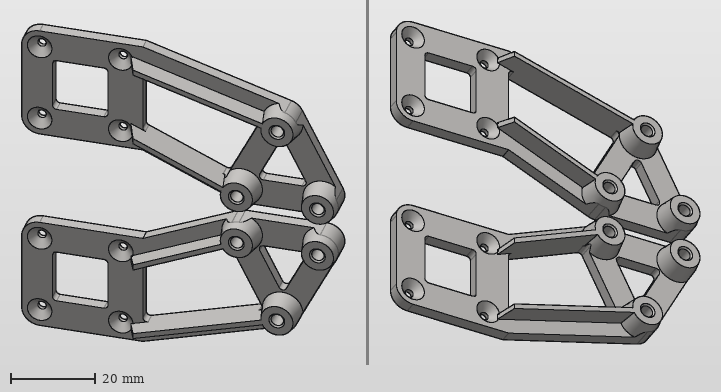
import cadquery as cq
import math


plate_thickness = 3.1
total_depth = 8.0
overall_height = 82.8
edge_margin = 4.5
pitch = 20.0
half_gap = 2.0
mount_to_boss = 30.0

plate_length = 30.0
mount_hole_d = 2.1
countersink_d = 6.05
countersink_angle = 90
window_size = 13.7
corner_fillet = 1.0

boss_base_d = 10.0
boss_tip_d = 7.95
boss_bore_d = 3.1
bore_chamfer = 0.4
bore_chamfer_angle = 90

rib_width = 1.3
rib_start = 27.0
rib_end_slant = 2.0
leg_inner_offset = 2.0
bar_inner_offset = 2.8

boss_height = total_depth - plate_thickness
left_boss = (edge_margin + pitch + mount_to_boss, half_gap + edge_margin)
right_boss = (left_boss[0] + pitch, left_boss[1])
top_boss = (left_boss[0] + pitch / 2, left_boss[1] + pitch)
bosses = [left_boss, right_boss, top_boss]

plate_top = overall_height / 2
plate_bottom = plate_top - pitch - 2 * edge_margin
mount_center = (edge_margin + pitch / 2, (plate_top + plate_bottom) / 2)

leg_angle = math.degrees(math.atan2(pitch, pitch / 2))


def tangent_angle(start, center, side):
    """Angle of the line from start that touches the outer corner round center on one side."""
    dx = center[0] - start[0]
    dz = center[1] - start[1]
    swing = math.asin(edge_margin / math.hypot(dx, dz))
    return math.degrees(math.atan2(dz, dx) + side * swing)


upper_arm_angle = tangent_angle((plate_length, plate_top), top_boss, 1)
lower_arm_angle = tangent_angle((plate_length, plate_bottom), left_boss, -1)


def polar(center, radius, angle):
    """Point at a radius and an angle from a centre."""
    turn = math.radians(angle)
    return (center[0] + radius * math.cos(turn), center[1] + radius * math.sin(turn))


def meet(point_a, angle_a, point_b, angle_b):
    """Crossing point of two lines, each given by a point and an angle."""
    turn_b = math.radians(angle_b)
    across = (point_b[0] - point_a[0]) * math.sin(turn_b) - (point_b[1] - point_a[1]) * math.cos(turn_b)
    return polar(point_a, across / math.sin(math.radians(angle_b - angle_a)), angle_a)


def prism(points, depth):
    """Closed outline in XZ, extruded from Y = 0 toward -Y."""
    return cq.Workplane("XZ").polyline(points).close().extrude(depth)


def outline(depth):
    """Outer outline: square mounting end, two arms and the rounded boss triangle."""
    r = edge_margin
    upper_left = (r, plate_top - r)
    lower_left = (r, plate_bottom + r)
    top_start = upper_arm_angle + 90
    leg_normal = 90 - leg_angle
    low_end = lower_arm_angle - 90
    return (
        cq.Workplane("XZ")
        .moveTo(*polar(upper_left, r, 90))
        .lineTo(plate_length, plate_top)
        .lineTo(*polar(top_boss, r, top_start))
        .threePointArc(polar(top_boss, r, (top_start + leg_normal) / 2), polar(top_boss, r, leg_normal))
        .lineTo(*polar(right_boss, r, leg_normal))
        .threePointArc(polar(right_boss, r, (leg_normal - 90) / 2), polar(right_boss, r, -90))
        .lineTo(*polar(left_boss, r, -90))
        .threePointArc(polar(left_boss, r, (low_end - 90) / 2), polar(left_boss, r, low_end))
        .lineTo(plate_length, plate_bottom)
        .lineTo(*polar(lower_left, r, -90))
        .threePointArc(polar(lower_left, r, -135), polar(lower_left, r, 180))
        .lineTo(*polar(upper_left, r, 180))
        .threePointArc(polar(upper_left, r, 135), polar(upper_left, r, 90))
        .close()
        .extrude(depth)
    )


def window(depth):
    """Square window centred between the mounting holes."""
    return cq.Workplane("XZ").center(*mount_center).rect(window_size, window_size).extrude(depth)


def arm_opening(depth):
    """Opening between the arms, the mounting end and the left leg of the triangle."""
    upper = polar(top_boss, rib_width / 2, upper_arm_angle - 90)
    lower = polar(left_boss, rib_width / 2, lower_arm_angle + 90)
    leg = polar(left_boss, edge_margin, leg_angle + 90)
    plate_edge = (plate_length, plate_bottom)
    corners = [
        meet(upper, upper_arm_angle, plate_edge, 90),
        meet(upper, upper_arm_angle, leg, leg_angle),
        meet(lower, lower_arm_angle, leg, leg_angle),
        meet(lower, lower_arm_angle, plate_edge, 90),
    ]
    return prism(corners, depth)


def triangle_opening(depth):
    """Opening between the three bosses."""
    left = polar(left_boss, leg_inner_offset, leg_angle - 90)
    right = polar(right_boss, leg_inner_offset, 270 - leg_angle)
    bar = (left_boss[0], left_boss[1] + bar_inner_offset)
    corners = [
        meet(left, leg_angle, bar, 0),
        meet(right, -leg_angle, bar, 0),
        meet(left, leg_angle, right, -leg_angle),
    ]
    return prism(corners, depth)


def profile(depth):
    """Bracket shape seen along Y, with its openings."""
    body = outline(depth)
    for opening in (window(depth), arm_opening(depth), triangle_opening(depth)):
        body = body.cut(opening.edges("|Y").fillet(corner_fillet))
    return body


def boss_cones():
    """Tapered bosses, trimmed to the shape of the bracket."""
    taper = math.degrees(math.atan2((boss_base_d - boss_tip_d) / 2, boss_height))
    cones = (
        cq.Workplane("XZ", origin=(0, -plate_thickness, 0))
        .pushPoints(bosses)
        .circle(boss_base_d / 2)
        .extrude(boss_height, taper=taper)
    )
    return cones.intersect(profile(total_depth))


def rib(boss, angle):
    """Rib along the inner edge of an arm, ending in its boss, with a slanted free end."""
    half = rib_width / 2
    sides = [polar(boss, half, angle + 90), polar(boss, half, angle - 90)]
    far_ends = [meet(side, angle, (rib_start, 0), 90) for side in sides]
    band = prism([sides[0], sides[1], far_ends[1], far_ends[0]], total_depth)
    side_shape = [
        (rib_start, -plate_thickness),
        (rib_start + rib_end_slant, -total_depth),
        (top_boss[0] + half, -total_depth),
        (top_boss[0] + half, -plate_thickness),
    ]
    return band.intersect(cq.Workplane("XY").polyline(side_shape).close().extrude(plate_top))


def bracket():
    """One bracket on the +Z side of the mirror plane."""
    body = (
        profile(plate_thickness)
        .faces("<Y")
        .workplane(origin=(mount_center[0], 0, mount_center[1]))
        .rarray(pitch, pitch, 2, 2)
        .cskHole(mount_hole_d, countersink_d, countersink_angle)
    )
    body = body.union(boss_cones())
    body = body.union(rib(top_boss, upper_arm_angle))
    body = body.union(rib(left_boss, lower_arm_angle))
    return (
        body.faces("<Y")
        .workplane(origin=(0, 0, 0))
        .pushPoints(bosses)
        .cskHole(boss_bore_d, boss_bore_d + 2 * bore_chamfer, bore_chamfer_angle)
    )


upper_bracket = bracket()
lower_bracket = upper_bracket.mirror("XY")

result = cq.Compound.makeCompound([upper_bracket.val(), lower_bracket.val()])